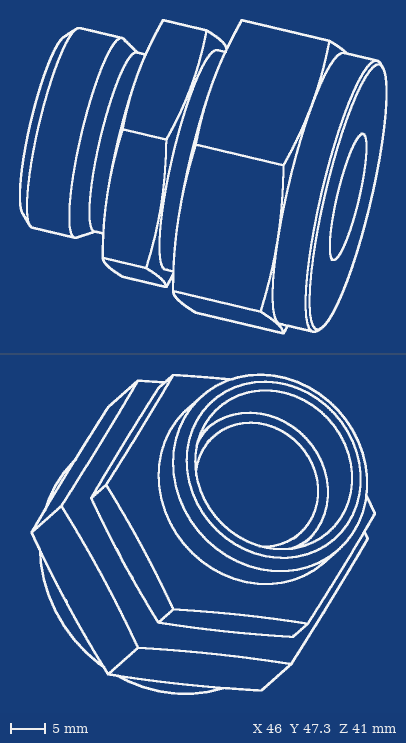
import cadquery as cq
import math

length = 46.0
hex_chamfer_angle = 15

thread_radius = 15.0
thread_chamfer = 1.55
thread_end = 8.0
undercut_radius = 13.45
taper_end = 10.6
undercut_fillet_start = 12.65

body_hex_start = 14.0
body_hex_end = 22.15
body_hex_flats = 36.0
collar_radius = 16.47
nut_hex_start = 25.45
nut_hex_end = 40.5
nut_hex_flats = 41.0
rim_radius = 20.35
rim_chamfer = 0.45

mouth_radius = 12.1
tube_radius = 11.0
cone_half_angle = 12
tube_depth = 7.5
bore_radius = 9.45


def chamfered_hexagon(start, end, flats):
    """Hexagon with corners on the Y axis, its corners turned off by a cone at both ends."""
    across_corners = flats / math.cos(math.radians(30))
    prism = cq.Workplane("YZ", origin=(start, 0, 0)).polygon(6, across_corners).extrude(end - start)
    face_radius = flats / 2
    corner_radius = across_corners / 2
    setback = (corner_radius - face_radius) * math.tan(math.radians(hex_chamfer_angle))
    envelope = revolved([
        (start, 0),
        (start, face_radius),
        (start + setback, corner_radius),
        (end - setback, corner_radius),
        (end, face_radius),
        (end, 0),
    ])
    return prism.intersect(envelope)


def revolved(profile):
    """Solid of revolution about X from (x, radius) points."""
    return cq.Workplane("XY").polyline(profile).close().revolve(360, (0, 0, 0), (1, 0, 0))


def turned_body():
    """Threaded end with chamfer and filleted undercut, the collar, and the rim of the nut."""
    fillet_radius = body_hex_start - undercut_fillet_start
    arc_side = fillet_radius * math.sin(math.radians(45))
    fillet_middle = (
        undercut_fillet_start + arc_side,
        undercut_radius + fillet_radius - arc_side,
    )
    return (
        cq.Workplane("XY")
        .moveTo(0, 0)
        .lineTo(0, thread_radius - thread_chamfer)
        .lineTo(thread_chamfer, thread_radius)
        .lineTo(thread_end, thread_radius)
        .lineTo(taper_end, undercut_radius)
        .lineTo(undercut_fillet_start, undercut_radius)
        .threePointArc(fillet_middle, (body_hex_start, undercut_radius + fillet_radius))
        .lineTo(body_hex_start, collar_radius)
        .lineTo(nut_hex_end, collar_radius)
        .lineTo(nut_hex_end, rim_radius)
        .lineTo(length - rim_chamfer, rim_radius)
        .lineTo(length, rim_radius - rim_chamfer)
        .lineTo(length, 0)
        .close()
        .revolve(360, (0, 0, 0), (1, 0, 0))
    )


def bore():
    """Tapered mouth, tube socket with a flat stop, and the through bore."""
    cone_depth = (mouth_radius - tube_radius) / math.tan(math.radians(cone_half_angle))
    return revolved([
        (0, 0),
        (0, mouth_radius),
        (cone_depth, tube_radius),
        (tube_depth, tube_radius),
        (tube_depth, bore_radius),
        (length, bore_radius),
        (length, 0),
    ])


result = (
    turned_body()
    .union(chamfered_hexagon(body_hex_start, body_hex_end, body_hex_flats))
    .union(chamfered_hexagon(nut_hex_start, nut_hex_end, nut_hex_flats))
    .cut(bore())
)